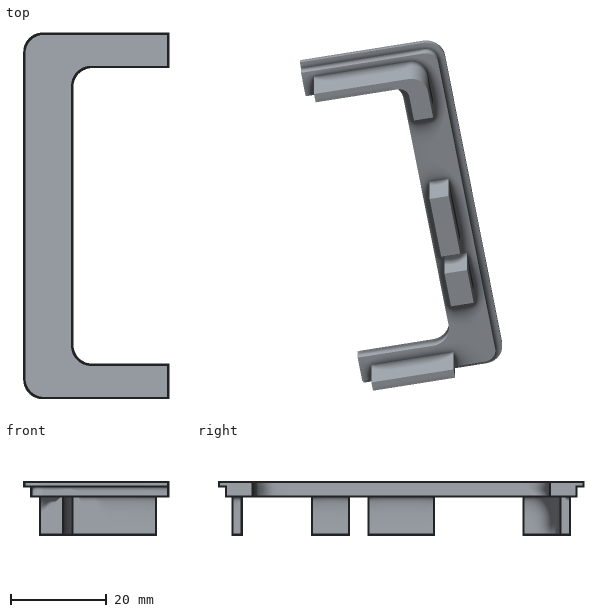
import cadquery as cq

length_x = 30.0
length_y = 76.0
spine_width = 10.0
arm_width = 7.0
corner_radius = 4.0

lip_thickness = 1.0
rim_thickness = 2.05
leg_height = 8.0
rim_inset = 1.45

leg_inset_x = 4.0
short_leg_inset_x = 3.3
leg_inset_y = 2.8
leg_inner_x = 8.05
wall_thickness = 2.0
wall_end_x = 27.5
front_wall_start_x = 10.1
corner_leg_length = 9.7
corner_leg_outer_radius = 3.5
corner_leg_inner_radius = 2.05
short_leg_start_y = 19.4
short_leg_length = 7.75
long_leg_start_y = 31.15
long_leg_length = 13.7

rim_bottom_z = -lip_thickness - rim_thickness
leg_bottom_z = rim_bottom_z - leg_height


def box(x_min, x_max, y_min, y_max, z_min, height):
    """Upright block between the given X and Y limits."""
    block = cq.Workplane("XY").box(x_max - x_min, y_max - y_min, height, centered=False)
    return block.translate((x_min, y_min, z_min))


def u_layer(inset, z_min, height):
    """U-shaped layer with its outer edge moved inwards and its inner edge unchanged."""
    outer = box(inset, length_x, inset, length_y - inset, z_min, height)
    outer = outer.edges("|Z and <X").fillet(corner_radius - inset)
    opening = box(spine_width, 2 * length_x, arm_width, length_y - arm_width, z_min, height)
    return outer.cut(opening.edges("|Z and <X").fillet(corner_radius))


def leg(x_min, x_max, y_min, y_max):
    """Straight leg hanging from the underside of the rim."""
    return box(x_min, x_max, y_min, y_max, leg_bottom_z, leg_height)


def corner_leg():
    """L-shaped leg at the back corner, rounded inside and outside the bend."""
    y_max = length_y - leg_inset_y
    wall_y = y_max - wall_thickness
    block = leg(leg_inset_x, wall_end_x, y_max - corner_leg_length, y_max)
    block = block.edges("|Z and <X and >Y").fillet(corner_leg_outer_radius)
    notch = leg(leg_inner_x, length_x, 0, wall_y)
    return block.cut(notch.edges("|Z and <X and >Y").fillet(corner_leg_inner_radius))


result = u_layer(0, -lip_thickness, lip_thickness)
result = result.union(u_layer(rim_inset, rim_bottom_z, rim_thickness))

result = result.union(corner_leg())
result = result.union(leg(front_wall_start_x, wall_end_x, leg_inset_y, leg_inset_y + wall_thickness))
result = result.union(
    leg(short_leg_inset_x, leg_inner_x, short_leg_start_y, short_leg_start_y + short_leg_length)
)
result = result.union(leg(leg_inset_x, leg_inner_x, long_leg_start_y, long_leg_start_y + long_leg_length))